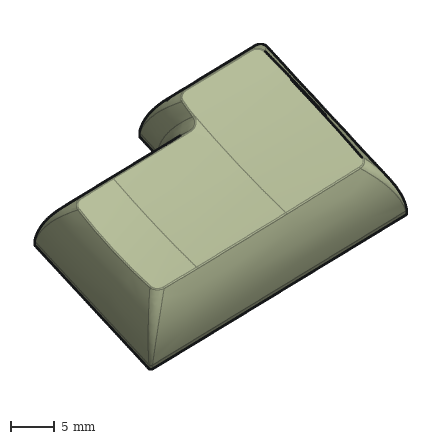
import cadquery as cq
import math

width = 27.6
length = 37.2
height = 9.1

notch_width = 5.1
notch_length = 18.97
notch_radius = 1.4

skirt_height = 0.8
wall_radius = 14.15
base_corner_radius = 0.3
top_corner_radius = 1.25
wall_sections = 5
overshoot = 0.75

dish_arcs = [
    (0, 17.2, 8.93, 111.6),
    (9.2, 14.8, 8.5, 81.85),
    (22.1, width / 2, 8.37, 81.85),
    (length, width / 2, 8.65, 111.6),
]
rim_radius = 0.22
upward_limit = 0.9


def outline(z, inset, corner_radius):
    """L-shaped outline at height z, moved inwards by inset, with rounded corners."""
    left = inset
    right = width - inset
    front = inset
    back = length - inset
    step_x = notch_width + inset
    step_y = notch_length + inset
    corners = [
        (step_x, front, corner_radius),
        (right, front, corner_radius),
        (right, back, corner_radius),
        (left, back, corner_radius),
        (left, step_y, corner_radius),
        (step_x, step_y, notch_radius),
    ]
    return rounded_wire(corners, z)


def rounded_wire(corners, z):
    """Closed wire through right-angled corners given as (x, y, radius)."""
    arcs = []
    for index, (x, y, radius) in enumerate(corners):
        corner = cq.Vector(x, y, z)
        before = cq.Vector(*corners[index - 1][:2], z)
        after = cq.Vector(*corners[(index + 1) % len(corners)][:2], z)
        to_before = (before - corner).normalized()
        to_after = (after - corner).normalized()
        start = corner + to_before * radius
        end = corner + to_after * radius
        middle = corner + (to_before + to_after) * (radius * (1 - math.sqrt(0.5)))
        arcs.append((start, middle, end))
    edges = []
    for index, (start, middle, end) in enumerate(arcs):
        next_start = arcs[(index + 1) % len(arcs)][0]
        edges.append(cq.Edge.makeThreePointArc(start, middle, end))
        edges.append(cq.Edge.makeLine(end, next_start))
    return cq.Wire.assembleEdges(edges)


def make_skirt():
    """Straight-sided base under the curved walls."""
    base = outline(0, 0, base_corner_radius)
    return cq.Workplane(cq.Solid.extrudeLinear(base, [], cq.Vector(0, 0, skirt_height)))


def wall_bulge(z):
    """Horizontal distance of the wall arc from its centre, which is level with the base."""
    return math.sqrt(wall_radius**2 - z**2)


def make_walls():
    """Walls that rise from the skirt and lean in along an arc, up past the dish."""
    wall_height = height + overshoot - skirt_height
    sections = []
    for index in range(wall_sections):
        fraction = index / (wall_sections - 1)
        z = skirt_height + wall_height * fraction
        inset = wall_bulge(skirt_height) - wall_bulge(z)
        corner_radius = base_corner_radius + (top_corner_radius - base_corner_radius) * fraction
        sections.append(outline(z, inset, corner_radius))
    return cq.Workplane(cq.Solid.makeLoft(sections))


def dish_section(y, centre, bottom, radius):
    """Region above the dish arc at one Y position."""
    half_width = width / 2
    edge_z = bottom + radius - math.sqrt(radius**2 - half_width**2)
    top_z = height + 2 * overshoot
    lowest = cq.Vector(centre, y, bottom)
    right_edge = cq.Vector(centre + half_width, y, edge_z)
    right_top = cq.Vector(centre + half_width, y, top_z)
    left_top = cq.Vector(centre - half_width, y, top_z)
    left_edge = cq.Vector(centre - half_width, y, edge_z)
    return cq.Wire.assembleEdges([
        cq.Edge.makeThreePointArc(left_edge, lowest, right_edge),
        cq.Edge.makeLine(right_edge, right_top),
        cq.Edge.makeLine(right_top, left_top),
        cq.Edge.makeLine(left_top, left_edge),
    ])


def make_dish():
    """Cutter above the concave top."""
    sections = [dish_section(*arc) for arc in dish_arcs]
    return cq.Workplane(cq.Solid.makeLoft(sections, True))


def rim_edges(solid):
    """Edges around the concave top: those that belong to just one of its upward faces."""
    top_faces = [face for face in solid.Faces() if face.normalAt().z > upward_limit]
    edges = [edge for face in top_faces for edge in face.Edges()]
    return [edge for edge in edges if sum(edge.isSame(other) for other in edges) == 1]


body = make_skirt().union(make_walls()).cut(make_dish()).solids().val()
result = cq.Workplane(body.fillet(rim_radius, rim_edges(body)))